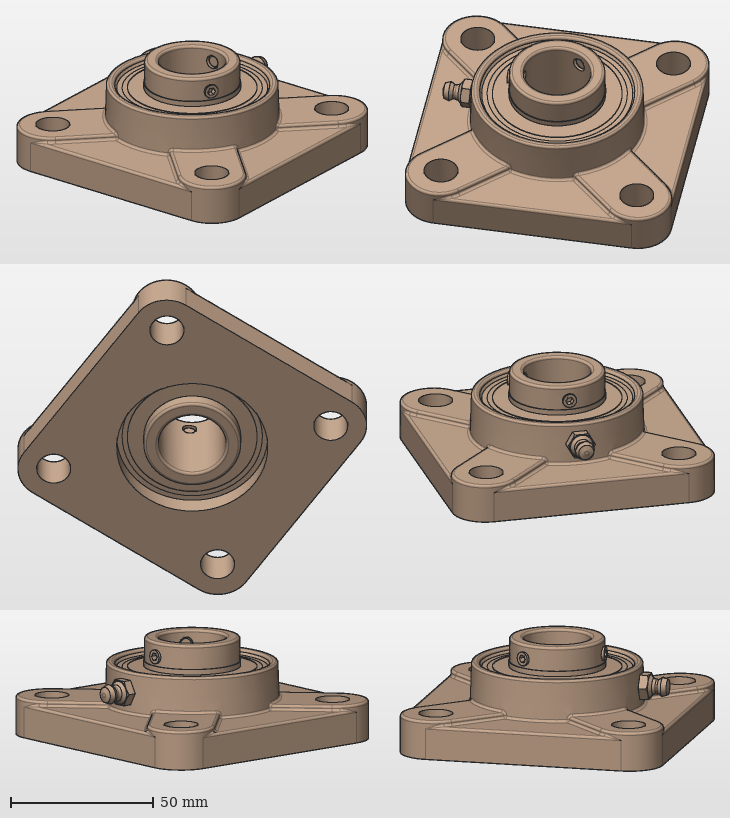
import cadquery as cq
import math

flange_side = 95.0
corner_radius = 12.0
bolt_offset = 35.1
bolt_hole_diameter = 12.0
plate_top = 12.0
lug_top = 14.0
casting_round = 0.95

drum_top = 27.0
drum_foot_radius = 30.7
drum_top_radius = 30.2
drum_outer_round = 0.9
mouth_round = 1.0
mouth_diameter = 54.6
seat_diameter = 53.2

inner_ring_top = 35.8
inner_ring_bottom = 1.7
inner_ring_bore = 23.8
collar_diameter = 33.6
collar_bottom = 27.2
inner_ring_diameter = 34.2
inner_ring_round = 0.95
bearing_mid_height = 16.1
outer_ring_width = 17.9

shield_step_diameter = 45.7
shield_diameter = 49.4
shield_thickness = 0.95
shield_step = 0.2
shield_cone_rise = 0.1

screw_diameter = 4.9
screw_height = 30.6
screw_outer_end = 17.6
screw_inner_end = 12.5
screw_tip_chamfer = 0.6
screw_angles = (90, -30)
socket_across_flats = 2.5
socket_depth = 2.4

nipple_height = 19.9
nipple_stem_diameter = 6.0
nipple_hex_across_flats = 8.7
nipple_hex_start = 30.7
nipple_hex_end = 33.9
nipple_hex_corner_rise = 0.4
nipple_stem_end = 27.55
nipple_head_outline = [
    (4.1, nipple_hex_end),
    (2.9, 35.1),
    (2.6, 36.2),
    (2.6, 37.0),
    (3.4, 38.4),
    (2.8, 40.3),
    (0.8, 40.85),
]

corner_offset = flange_side / 2 - corner_radius
seat_radius = seat_diameter / 2
outer_ring_top = bearing_mid_height + outer_ring_width / 2
outer_ring_bottom = bearing_mid_height - outer_ring_width / 2
hexagon_corner_ratio = 2 / math.sqrt(3)


def make_plate():
    """Square flange plate with round corners and rounded top edges along its straight sides."""
    plate = cq.Workplane("XY").rect(flange_side, flange_side).extrude(plate_top)
    plate = plate.faces(">Z").edges().fillet(casting_round)
    corner_trim = cq.Workplane("XY").rect(flange_side, flange_side).extrude(plate_top)
    return plate.intersect(corner_trim.edges("|Z").fillet(corner_radius))


def make_lug_bar(angle):
    """Raised diagonal bar joining two opposite corners."""
    bar_length = 2 * (math.sqrt(2) * corner_offset + corner_radius)
    return (
        cq.Workplane("XY")
        .slot2D(bar_length, 2 * corner_radius)
        .extrude(lug_top)
        .faces(">Z")
        .edges()
        .fillet(casting_round)
        .rotate((0, 0, 0), (0, 0, 1), angle)
    )


def make_drum():
    """Tapered drum around the bearing, with a rounded rim."""
    outline = [
        (0, 0),
        (drum_foot_radius, 0),
        (drum_foot_radius, plate_top),
        (drum_top_radius, drum_top),
        (0, drum_top),
    ]
    return (
        cq.Workplane("XZ")
        .polyline(outline)
        .close()
        .revolve(360, (0, 0), (0, 1))
        .faces(">Z")
        .edges()
        .fillet(drum_outer_round)
    )


def make_seat_cutter():
    """Bearing bore with a slightly flared mouth and a rounded rim above the outer ring."""
    mouth_radius = mouth_diameter / 2
    arc_inset = mouth_round * (1 - math.sqrt(0.5))
    return (
        cq.Workplane("XZ")
        .lineTo(seat_radius, 0)
        .lineTo(seat_radius, outer_ring_top)
        .lineTo(mouth_radius, drum_top - mouth_round)
        .threePointArc(
            (mouth_radius + arc_inset, drum_top - arc_inset),
            (mouth_radius + mouth_round, drum_top),
        )
        .lineTo(0, drum_top)
        .close()
        .revolve(360, (0, 0), (0, 1))
    )


def make_housing():
    """Cast flange housing with bolt holes, bearing seat and nipple hole."""
    casting = make_plate().union(make_lug_bar(45)).union(make_lug_bar(-45)).union(make_drum())
    foot_reach = flange_side / 2 - casting_round - 0.1
    foot_zone = cq.selectors.BoxSelector(
        (-foot_reach, -foot_reach, plate_top - 0.1),
        (foot_reach, foot_reach, lug_top + 0.1),
        boundingbox=True,
    )
    casting = casting.edges(foot_zone).fillet(casting_round)
    bolt_holes = (
        cq.Workplane("XY")
        .rect(2 * bolt_offset, 2 * bolt_offset, forConstruction=True)
        .vertices()
        .circle(bolt_hole_diameter / 2)
        .extrude(lug_top)
    )
    return casting.cut(bolt_holes).cut(make_seat_cutter()).cut(make_nipple_stem())


def along_y(start):
    """Workplane facing -Y, at the nipple's height, at a distance from the bearing axis."""
    return cq.Workplane("XZ", origin=(0, start, nipple_height))


def make_nipple_stem():
    """Round stem of the nipple, from inside the drum wall out to the hexagon."""
    stem_length = nipple_hex_start - nipple_stem_end
    return along_y(nipple_stem_end).circle(nipple_stem_diameter / 2).extrude(-stem_length)


def make_nipple():
    """Grease nipple: stem, hexagon and waisted head."""
    hexagon_width = nipple_hex_across_flats * hexagon_corner_ratio
    hexagon = along_y(nipple_hex_start).polygon(6, hexagon_width).extrude(nipple_hex_start - nipple_hex_end)
    bevel_outline = [
        (0, nipple_hex_start),
        (hexagon_width / 2, nipple_hex_start),
        (hexagon_width / 2, nipple_hex_end - nipple_hex_corner_rise),
        (nipple_hex_across_flats / 2, nipple_hex_end),
        (0, nipple_hex_end),
    ]
    head_outline = [(0, nipple_hex_end)] + nipple_head_outline + [(0, nipple_head_outline[-1][1])]
    bevelled_blank = revolve_about_nipple(bevel_outline)
    head = revolve_about_nipple(head_outline)
    return hexagon.intersect(bevelled_blank).union(head).union(make_nipple_stem())


def revolve_about_nipple(outline):
    """Turn a (radius, distance) outline about the nipple's axis."""
    return (
        cq.Workplane("XY", origin=(0, 0, nipple_height))
        .polyline(outline)
        .close()
        .revolve(360, (0, 0), (0, 1))
    )


def revolve_about_z(outline):
    """Turn a (radius, height) outline about the bearing axis."""
    return cq.Workplane("XZ").polyline(outline).close().revolve(360, (0, 0), (0, 1))


def make_inner_ring():
    """Inner ring with its collar and the two set screw holes."""
    bore_radius = inner_ring_bore / 2
    ring = revolve_about_z([
        (bore_radius, inner_ring_bottom),
        (inner_ring_diameter / 2, inner_ring_bottom),
        (inner_ring_diameter / 2, collar_bottom),
        (collar_diameter / 2, collar_bottom),
        (collar_diameter / 2, inner_ring_top),
        (bore_radius, inner_ring_top),
    ])
    ring = ring.faces(">Z or <Z").edges().fillet(inner_ring_round)
    for angle in screw_angles:
        ring = ring.cut(make_screw_blank(angle, 0, screw_outer_end))
    return ring


def make_outer_ring():
    """Outer ring with a shallow recess for a shield at each end."""
    bore_radius = shield_step_diameter / 2
    recess_radius = shield_diameter / 2
    return revolve_about_z([
        (bore_radius, outer_ring_bottom + shield_thickness),
        (recess_radius, outer_ring_bottom + shield_thickness),
        (recess_radius, outer_ring_bottom),
        (seat_radius, outer_ring_bottom),
        (seat_radius, outer_ring_top),
        (recess_radius, outer_ring_top),
        (recess_radius, outer_ring_top - shield_thickness),
        (bore_radius, outer_ring_top - shield_thickness),
    ])


def make_upper_shield():
    """Upper shield: flat rim and a raised, slightly conical disc."""
    rim_top = outer_ring_top
    rim_bottom = outer_ring_top - shield_thickness
    disc_top = rim_top + shield_step
    return revolve_about_z([
        (inner_ring_diameter / 2, rim_bottom),
        (shield_diameter / 2, rim_bottom),
        (shield_diameter / 2, rim_top),
        (shield_step_diameter / 2, rim_top),
        (shield_step_diameter / 2, disc_top),
        (inner_ring_diameter / 2, disc_top + shield_cone_rise),
    ])


def make_screw_blank(angle, inner_end, outer_end):
    """Plain radial cylinder of the set screw's diameter."""
    return (
        cq.Workplane("YZ", origin=(inner_end, 0, screw_height))
        .circle(screw_diameter / 2)
        .extrude(outer_end - inner_end)
        .rotate((0, 0, 0), (0, 0, 1), angle)
    )


def make_set_screw(angle):
    """Set screw with a chamfered tip and a hexagon socket."""
    socket = (
        cq.Workplane("YZ", origin=(screw_outer_end - socket_depth, 0, screw_height))
        .polygon(6, socket_across_flats * hexagon_corner_ratio)
        .extrude(socket_depth)
    )
    screw = make_screw_blank(0, screw_inner_end, screw_outer_end)
    screw = screw.faces("<X").edges().chamfer(screw_tip_chamfer).cut(socket)
    return screw.rotate((0, 0, 0), (0, 0, 1), angle)


housing = make_housing()
nipple = make_nipple()
inner_ring = make_inner_ring()
outer_ring = make_outer_ring()
upper_shield = make_upper_shield()
lower_shield = upper_shield.mirror("XY", (0, 0, bearing_mid_height))
set_screws = [make_set_screw(angle) for angle in screw_angles]

result = cq.Compound.makeCompound([
    housing.val(),
    nipple.val(),
    inner_ring.val(),
    outer_ring.val(),
    upper_shield.val(),
    lower_shield.val(),
    *[screw.val() for screw in set_screws],
])